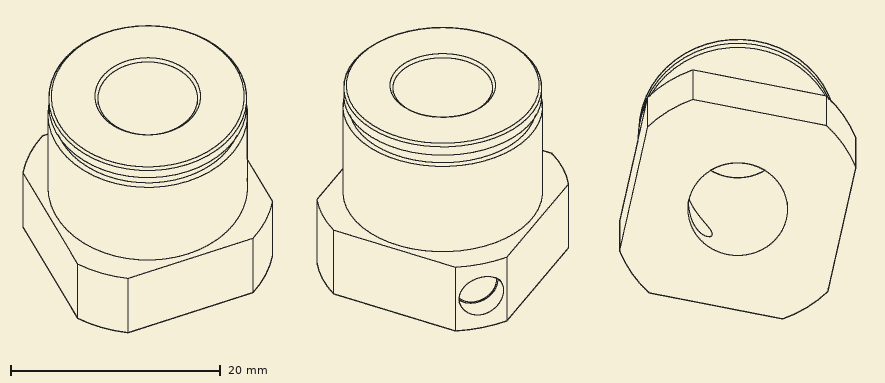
import cadquery as cq
import math

base_width = 20.32
base_height = 7.62
corner_radius = 12.07

total_height = 20.32
body_radius = 9.53
rim_radius = 9.45
groove_radius = 8.95
groove_top = total_height - 1.24
groove_bottom = total_height - 2.52
rim_chamfer = 0.25

bore_radius = 4.75
bore_chamfer = 0.28

screw_radius = 2.24
screw_inner_radius = 2.1
screw_outer_depth = 1.97
screw_height = base_height / 2
screw_direction = cq.Vector(-math.sqrt(0.5), math.sqrt(0.5), 0)


def cylinder(radius, bottom, top):
    """Return a vertical cylinder between two heights."""
    return cq.Workplane("XY").workplane(offset=bottom).circle(radius).extrude(top - bottom)


def make_base():
    """Return the square base trimmed at its corners by a cylinder."""
    square = cq.Workplane("XY").rect(base_width, base_width).extrude(base_height)
    return square.intersect(cylinder(corner_radius, 0, base_height))


def make_body():
    """Return the round body, its groove neck and the chamfered rim."""
    body = cylinder(body_radius, base_height, groove_bottom)
    neck = cylinder(groove_radius, groove_bottom, groove_top)
    rim = cylinder(rim_radius, groove_top, total_height).faces(">Z").chamfer(rim_chamfer)
    return body.union(neck).union(rim)


def radial_hole(radius, inner_distance):
    """Return a cutter along the screw axis, from a distance off the bore axis outward."""
    start = screw_direction * inner_distance + cq.Vector(0, 0, screw_height)
    length = base_width - inner_distance
    return cq.Workplane(cq.Solid.makeCylinder(radius, length, start, screw_direction))


part = make_base().union(make_body())

part = part.cut(cylinder(bore_radius, 0, total_height))
mouth_edge = cq.selectors.RadiusNthSelector(0)
part = part.faces(">Z").edges(mouth_edge).chamfer(bore_chamfer)

part = part.cut(radial_hole(screw_radius, corner_radius - screw_outer_depth))
part = part.cut(radial_hole(screw_inner_radius, 0))

result = part